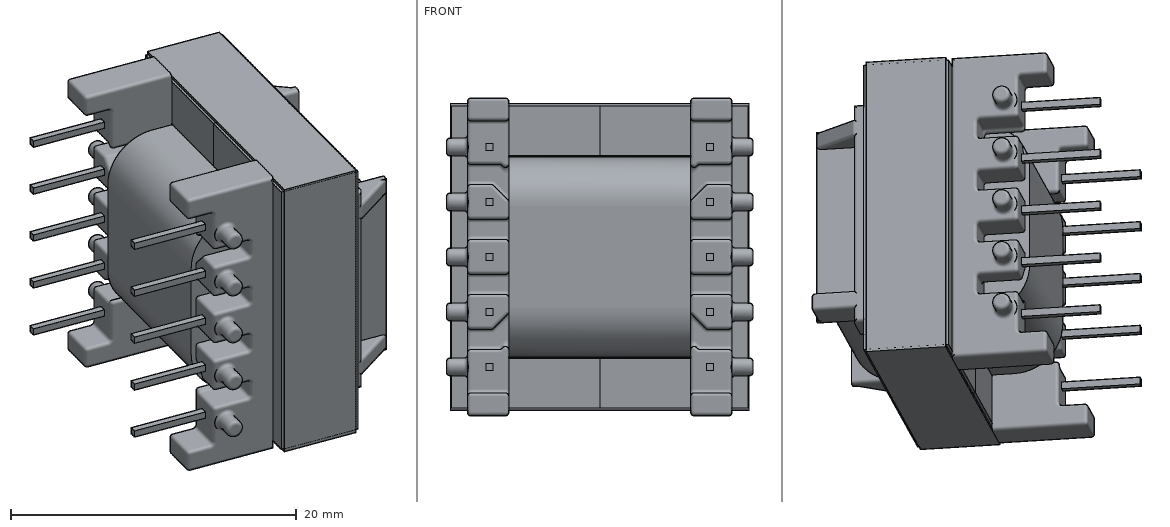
import cadquery as cq
import math


core_length = 20.75
core_depth = 6.05
core_height = 21.12
window_length = 13.93
window_height = 14.15
leg_height = 5.88

tape_length = 20.92
tape_depth = 5.65
tape_height = 21.5

flange_gap = 12.73
flange_thickness = 2.9
edge_radius = 0.25
tube_wall = 0.6

rail_height = 22.25
foot_y = -9.82
seat_y = -7.77
slot_floor_y = -4.83
foot_inner_z = 9.53
slot_width = 1.4
slot_bend_x = 7.21
slot_bend_angle = 45

pin_count = 5
pin_pitch = 3.85
pin_row_x = 7.72
pin_side = 0.51
pin_tip_y = -13.35
post_radius = 0.62
post_y = -6.81
post_span = 21.48

plate_thickness = 0.91
plate_height = 16.12
wall_y = 7.01
shelf_y = 6.95
support_thickness = 1.3

winding_front_y = -8.05
winding_height = 14.02
winding_corner_radius = 3.47

core_face_y = core_depth / 2
inner_x = flange_gap / 2
outer_x = inner_x + flange_thickness
post_tip_x = post_span / 2
wall_x = window_length / 2
window_z = window_height / 2
wall_end_z = winding_height / 2
plate_y = core_face_y + plate_thickness
support_base_y = core_face_y + plate_thickness / 2
pin_zs = [(i - (pin_count - 1) / 2) * pin_pitch for i in range(pin_count)]
tube_depth = core_depth + 2 * tube_wall
tube_height = leg_height + 2 * tube_wall
slack = 0.22


def block(x_range, y_range, z_range):
    """Box given by its limits along each axis."""
    (x0, x1), (y0, y1), (z0, z1) = x_range, y_range, z_range
    return cq.Workplane("XY").box(x1 - x0, y1 - y0, z1 - z0, centered=False).translate((x0, y0, z0))


def round_edges(body, sharp_edges):
    """Round every edge of the body except the given ones."""
    sharp = sharp_edges.vals()
    rounded = [edge for edge in body.edges().vals() if edge not in sharp]
    return body.newObject(rounded).fillet(edge_radius)


def make_core_half():
    """E-shaped half on the +X side."""
    half = block((0, core_length / 2), (-core_face_y, core_face_y), (-core_height / 2, core_height / 2))
    for z_range in ((leg_height / 2, window_z), (-window_z, -leg_height / 2)):
        half = half.cut(block((-slack, wall_x), (-core_depth, core_depth), z_range))
    return half


def make_tape():
    """Closed band around the outside of the core."""
    band = cq.Workplane("XZ").rect(tape_length, tape_height).rect(core_length, core_height)
    return band.extrude(tape_depth / 2, both=True)


def make_winding():
    depth = wall_y - winding_front_y
    coil = (
        cq.Workplane("XY")
        .box(flange_gap, depth, winding_height)
        .edges("|X")
        .fillet(winding_corner_radius)
        .translate((0, (wall_y + winding_front_y) / 2, 0))
    )
    return coil.cut(cq.Workplane("XY").box(flange_gap, tube_depth, tube_height))


def straight_slot(z):
    """Wire slot between two pins, straight through the rail."""
    return block(
        (inner_x - slack, outer_x + slack),
        (seat_y - slack, slot_floor_y),
        (z - slot_width / 2, z + slot_width / 2),
    )


def bent_slot(z, toward):
    """Wire slot that turns up (toward = 1) or down (toward = -1) in Z near the inner face."""
    half = slot_width / 2
    slope = toward * math.tan(math.radians(slot_bend_angle))
    bend_shift = half * math.tan(math.radians(slot_bend_angle / 2))
    near_bend_x = slot_bend_x - bend_shift
    far_bend_x = slot_bend_x + bend_shift
    end_x = inner_x - 2 * slack
    outline = [
        (outer_x + slack, z - toward * half),
        (near_bend_x, z - toward * half),
        (end_x, z - toward * half + slope * (near_bend_x - end_x)),
        (end_x, z + toward * half + slope * (far_bend_x - end_x)),
        (far_bend_x, z + toward * half),
        (outer_x + slack, z + toward * half),
    ]
    return (
        cq.Workplane("XZ", origin=(0, slot_floor_y, 0))
        .polyline(outline)
        .close()
        .extrude(slot_floor_y - seat_y + slack)
    )


def make_rail():
    """Rail with two feet, the pin seat between them and a wire slot between each two pins."""
    rail = block((inner_x, outer_x), (foot_y, -core_face_y), (-rail_height / 2, rail_height / 2))
    seat_recess = block(
        (inner_x - slack, outer_x + slack),
        (foot_y - slack, seat_y),
        (-foot_inner_z, foot_inner_z),
    )
    rail = rail.cut(seat_recess)
    slot_zs = [z + pin_pitch / 2 for z in pin_zs[:-1]]
    for z in slot_zs[1:-1]:
        rail = rail.cut(straight_slot(z))
    rail = rail.cut(bent_slot(slot_zs[0], 1))
    rail = rail.cut(bent_slot(slot_zs[-1], -1))
    return round_edges(rail, rail.faces(">Y").edges("not >X"))


def make_wall():
    """Thin flange wall that ends the winding, from the rail back to the rear end of the winding."""
    inner = block((inner_x, wall_x), (-core_face_y - slack, core_face_y), (-wall_end_z, wall_end_z))
    rear = block((inner_x, wall_x), (core_face_y, wall_y), (-wall_end_z, wall_end_z))
    return inner.union(rear.edges("|Y").edges("<X").fillet(edge_radius))


def make_plate():
    """Flat plate against the rear face of the core."""
    plate = block((inner_x, outer_x), (core_face_y, plate_y), (-plate_height / 2, plate_height / 2))
    against_core = plate.faces("<Y").edges("<X")
    return round_edges(plate, plate.edges("|X").add(against_core))


def make_support(outline, z_start):
    """Rounded prism standing on the plate at one end of the wall."""
    support = (
        cq.Workplane("XY", origin=(0, 0, z_start))
        .polyline(outline)
        .close()
        .extrude(support_thickness)
    )
    return support.edges("not <Y").fillet(edge_radius)


def make_gusset(z_start):
    """Triangular support that slopes from the end of the wall to the edge of the plate."""
    outline = [
        (inner_x, support_base_y),
        (outer_x, support_base_y),
        (outer_x, plate_y),
        (wall_x, wall_y),
        (inner_x, wall_y),
    ]
    return make_support(outline, z_start)


def make_shelf(z_start):
    """Rectangular support as wide as the plate."""
    outline = [
        (inner_x, support_base_y),
        (outer_x, support_base_y),
        (outer_x, shelf_y),
        (inner_x, shelf_y),
    ]
    return make_support(outline, z_start)


def make_post(z):
    """Wire post with a flared root and a rounded tip, revolved about its own X axis."""
    r = edge_radius
    root_x = outer_x - 2 * r
    arc_mid = r * (1 - math.sqrt(0.5))
    profile = (
        cq.Workplane("XY")
        .moveTo(root_x, 0)
        .lineTo(root_x, post_radius + r)
        .lineTo(outer_x, post_radius + r)
        .threePointArc((outer_x + arc_mid, post_radius + arc_mid), (outer_x + r, post_radius))
        .lineTo(post_tip_x - r, post_radius)
        .threePointArc((post_tip_x - arc_mid, post_radius - arc_mid), (post_tip_x, post_radius - r))
        .lineTo(post_tip_x, 0)
        .close()
    )
    return profile.revolve(360, (0, 0, 0), (1, 0, 0)).translate((0, post_y, z))


def make_pin(z):
    """Square pin that stands on the seat."""
    half = pin_side / 2
    return block(
        (pin_row_x - half, pin_row_x + half),
        (pin_tip_y, seat_y + slack),
        (z - half, z + half),
    )


def make_bobbin_side(lower_support):
    """Everything of the bobbin on the +X side of its middle plane."""
    side = make_rail()
    side = side.union(make_wall())
    side = side.union(make_plate())
    side = side.union(make_gusset(wall_end_z - support_thickness))
    side = side.union(lower_support)
    for z in pin_zs:
        side = side.union(make_post(z))
        side = side.union(make_pin(z))
    return side


def make_bobbin():
    """Two flanges joined by a tube that fits over the centre leg of the core."""
    right = make_bobbin_side(make_gusset(-wall_end_z))
    left = make_bobbin_side(make_shelf(-wall_end_z)).mirror("YZ")
    tube = cq.Workplane("XY").box(2 * wall_x, tube_depth, tube_height)
    leg_hole = cq.Workplane("XY").box(2 * outer_x, core_depth, leg_height)
    return right.union(tube).union(left).cut(leg_hole)


core_right = make_core_half()
core_left = core_right.mirror("YZ")
tape = make_tape()
winding = make_winding()
bobbin = make_bobbin()

result = cq.Compound.makeCompound(
    [core_right.val(), core_left.val(), tape.val(), winding.val(), bobbin.val()]
)